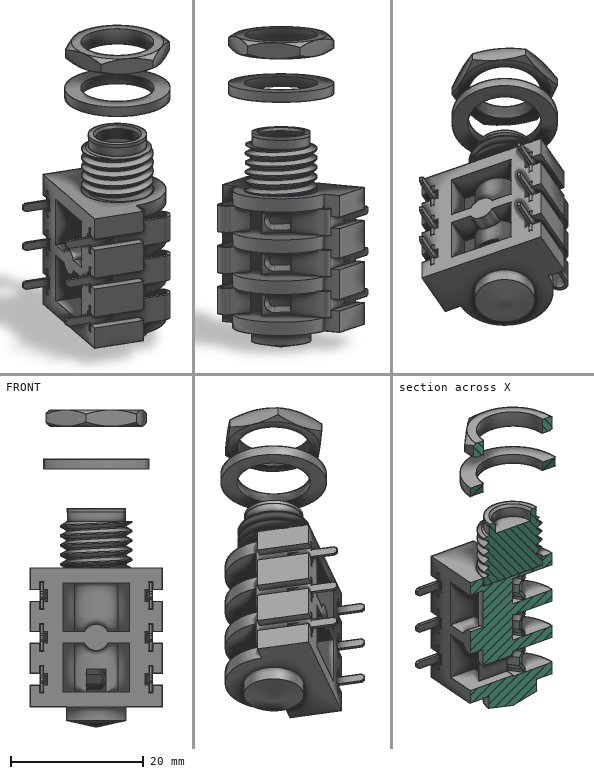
import cadquery as cq
import math


OVERALL_DEPTH = 20.0

BLOCK_WIDTH = 20.0
BLOCK_DEPTH = 8.0
BLOCK_BOTTOM = 3.05
BLOCK_TOP = 24.1
BLOCK_HEIGHT = BLOCK_TOP - BLOCK_BOTTOM
BLOCK_MIDDLE = (BLOCK_BOTTOM + BLOCK_TOP) / 2

RIB_RADIUS = 7.35
RIB_THICKNESS = 2.05
CONTACT_COUNT = 3
CONTACT_PITCH = (BLOCK_HEIGHT - RIB_THICKNESS) / CONTACT_COUNT
CONTACT_LEVELS = [BLOCK_MIDDLE + CONTACT_PITCH * step for step in (-1, 0, 1)]

WINDOW_WIDTH = 10.05
WINDOW_HEIGHT = 16.5
WINDOW_DEPTH = 4.45
BAR_HEIGHT = 1.75
BOSS_DIAMETER = 4.0
BARREL_DIAMETER = 7.2
BARREL_AXIS_Y = -2.0
WINDOW_BOTTOM = BLOCK_MIDDLE - WINDOW_HEIGHT / 2
BARREL_HOLE_WIDTH = 3.0
BARREL_HOLE_HEIGHT = 3.45

END_DIAMETER = 9.0
END_CONE_HEIGHT = 1.0

PLUG_DIAMETER = 11.0
SOCKET_DIAMETER = 11.1
SOCKET_DEPTH = 1.45
SOCKET_FLOOR = BLOCK_TOP - SOCKET_DEPTH
THREAD_TOP = 31.1
THREAD_DIAMETER = 10.85
THREAD_ROOT_DIAMETER = 9.0
THREAD_PITCH = 1.45
THREAD_CREST = 0.2
THREAD_BASE = 1.4
THREAD_START = 22.45
THREAD_EMBED = 0.15
COLLAR_TOP = 33.05
COLLAR_DIAMETER = 8.8
COLLAR_BORE = 6.45
COLLAR_MOUTH = 7.25
LIP_HEIGHT = 0.55
LIP_DIAMETER = 8.85

WASHER_BOTTOM = 39.0
WASHER_THICKNESS = 1.55
WASHER_DIAMETER = 16.0
WASHER_HOLE = 11.1
NUT_TOP = 48
NUT_THICKNESS = 2.5
NUT_CORNER_DIAMETER = 16.15
NUT_FACE_DIAMETER = 13.9
NUT_HOLE = 11.0
NUT_TURN = 19
NUT_CHAMFER_ANGLE = 30

SHEET = 0.5
PIN_X = 8.25
PIN_TIP_Y = WASHER_DIAMETER / 2 - OVERALL_DEPTH
PIN_WIDTH = 1.2
PIN_POINT_WIDTH = 0.6
PIN_POINT_LENGTH = 0.45
LEAF_WIDTH = 4.05
SLIT_HEIGHT = 4.15
SLIT_WIDTH = 0.6
SIDE_SLOT_HEIGHT = 1.8
SIDE_SLOT_INNER_X = 7.35
BARB_TOP_Y = -4.3
BARB_LENGTH = 1.65
BARB_HEIGHT = 1.1
BARB_RISE = 0.45

LOW_CORNER_RADIUS = 0.6
LOW_LEAF_TOP_Y = 0.7
LOW_BEND_X = -2.05
LOW_LEG_ANGLE = 38
LOW_LEG_LENGTH = 4.4
DIMPLE_END = 2.5
DIMPLE_WIDTH = 3.15
DIMPLE_FLAT_WIDTH = 1.45
DIMPLE_HEIGHT = 0.45

ARCH_RADIUS = 1.35
ARCH_CENTRE_Y = 4.2
HIGH_LEG_ANGLE = 53
HIGH_LEG_LENGTH = 3.35


def box(x_range, y_range, z_range):
    """Solid box between the given limits along X, Y and Z."""
    limits = (x_range, y_range, z_range)
    sizes = [high - low for low, high in limits]
    corner = cq.Vector(*[low for low, high in limits])
    return cq.Workplane(obj=cq.Solid.makeBox(*sizes, pnt=corner))


def cylinder(diameter, bottom, top):
    """Solid cylinder on the jack axis."""
    return cq.Workplane().workplane(offset=bottom).circle(diameter / 2).extrude(top - bottom)


def ring(outer, inner, bottom, top):
    """Flat ring on the jack axis."""
    return cylinder(outer, bottom, top).cut(cylinder(inner, bottom, top))


def centred(middle, size):
    """Limits of a length that is centred on a point."""
    return (middle - size / 2, middle + size / 2)


def make_block():
    """Rectangular front block with four half-round ribs behind it."""
    body = box(centred(0, BLOCK_WIDTH), (-BLOCK_DEPTH, 0), (BLOCK_BOTTOM, BLOCK_TOP))
    for index in range(CONTACT_COUNT + 1):
        bottom = BLOCK_BOTTOM + index * CONTACT_PITCH
        body = body.union(cylinder(2 * RIB_RADIUS, bottom, bottom + RIB_THICKNESS).intersect(
            box(centred(0, BLOCK_WIDTH), (-BLOCK_DEPTH, RIB_RADIUS), (BLOCK_BOTTOM, BLOCK_TOP))))
    return body


def make_window_cutter():
    """Space of both windows, around the cross bar, its round boss and the barrel wall."""
    window_z = centred(BLOCK_MIDDLE, WINDOW_HEIGHT)
    depth = (-BLOCK_DEPTH, WINDOW_DEPTH - BLOCK_DEPTH)
    cutter = box(centred(0, WINDOW_WIDTH), depth, window_z)
    bar = box(centred(0, WINDOW_WIDTH), depth, centred(BLOCK_MIDDLE, BAR_HEIGHT))
    boss = (cq.Workplane("XZ", origin=(0, 0, BLOCK_MIDDLE))
            .circle(BOSS_DIAMETER / 2).extrude(BLOCK_DEPTH))
    barrel = cylinder(BARREL_DIAMETER, *window_z).translate((0, BARREL_AXIS_Y, 0))
    return cutter.cut(bar).cut(boss).cut(barrel)


def make_barrel_hole():
    """Rectangular hole through the barrel wall, in line with the lowest contact."""
    return box(centred(0, BARREL_HOLE_WIDTH), (BARREL_AXIS_Y - BARREL_DIAMETER / 2, 0),
               (WINDOW_BOTTOM, WINDOW_BOTTOM + BARREL_HOLE_HEIGHT))


def make_contact_slots(side, level):
    """Open side slot and narrow slit for one contact; side is -1 or 1 along X."""
    depth = (-BLOCK_DEPTH, 0)
    slot_x = sorted((side * SIDE_SLOT_INNER_X, side * BLOCK_WIDTH / 2))
    side_slot = box(slot_x, depth, centred(level, SIDE_SLOT_HEIGHT))
    slit = box(centred(side * PIN_X, SLIT_WIDTH), depth, centred(level, SLIT_HEIGHT))
    return side_slot.union(slit)


def make_closed_end():
    """Round stub below the block that ends in a shallow cone."""
    radius = END_DIAMETER / 2
    return (cq.Workplane("XZ").moveTo(0, 0).lineTo(radius, END_CONE_HEIGHT)
            .lineTo(radius, BLOCK_BOTTOM).lineTo(0, BLOCK_BOTTOM).close().revolve())


def make_housing():
    body = make_block().cut(make_window_cutter()).cut(make_barrel_hole())
    for level in CONTACT_LEVELS:
        for side in (-1, 1):
            body = body.cut(make_contact_slots(side, level))
    socket = cylinder(SOCKET_DIAMETER, SOCKET_FLOOR, BLOCK_TOP)
    return body.union(make_closed_end()).cut(socket)


def make_threaded_neck():
    """Neck with a right-hand ridge, swept past both ends of the neck and trimmed to it."""
    root = THREAD_ROOT_DIAMETER / 2
    height = THREAD_TOP - THREAD_START + THREAD_PITCH
    path = cq.Workplane(obj=cq.Wire.makeHelix(THREAD_PITCH, height, root)).translate((0, 0, THREAD_START))
    ridge = (cq.Workplane("XZ", origin=(0, 0, THREAD_START))
             .moveTo(root - THREAD_EMBED, -THREAD_BASE / 2)
             .lineTo(THREAD_DIAMETER / 2, -THREAD_CREST / 2)
             .lineTo(THREAD_DIAMETER / 2, THREAD_CREST / 2)
             .lineTo(root - THREAD_EMBED, THREAD_BASE / 2)
             .close().sweep(path, isFrenet=True))
    core = cylinder(THREAD_ROOT_DIAMETER, BLOCK_BOTTOM, COLLAR_TOP)
    return core.union(ridge).intersect(cylinder(2 * THREAD_DIAMETER, BLOCK_TOP, THREAD_TOP))


def make_collar():
    """Ring with a slight lip on the end of the neck, its bore chamfered at the mouth."""
    lip_bottom = COLLAR_TOP - LIP_HEIGHT
    chamfer = (COLLAR_MOUTH - COLLAR_BORE) / 2
    return (cq.Workplane("XZ").moveTo(COLLAR_BORE / 2, THREAD_TOP)
            .lineTo(COLLAR_DIAMETER / 2, THREAD_TOP)
            .lineTo(COLLAR_DIAMETER / 2, lip_bottom)
            .lineTo(LIP_DIAMETER / 2, lip_bottom)
            .lineTo(LIP_DIAMETER / 2, COLLAR_TOP)
            .lineTo(COLLAR_MOUTH / 2, COLLAR_TOP)
            .lineTo(COLLAR_BORE / 2, COLLAR_TOP - chamfer)
            .close().revolve())


def make_bushing():
    plug = cylinder(PLUG_DIAMETER, SOCKET_FLOOR, BLOCK_TOP)
    return make_threaded_neck().union(plug).union(make_collar())


def make_washer():
    return ring(WASHER_DIAMETER, WASHER_HOLE, WASHER_BOTTOM, WASHER_BOTTOM + WASHER_THICKNESS)


def make_nut():
    """Hexagon nut, its corners chamfered on both faces."""
    bottom = NUT_TOP - NUT_THICKNESS
    corner = NUT_CORNER_DIAMETER / 2
    face = NUT_FACE_DIAMETER / 2
    drop = (corner - face) * math.tan(math.radians(NUT_CHAMFER_ANGLE))
    envelope = (cq.Workplane("XZ").moveTo(0, bottom).lineTo(face, bottom)
                .lineTo(corner, bottom + drop).lineTo(corner, NUT_TOP - drop)
                .lineTo(face, NUT_TOP).lineTo(0, NUT_TOP).close().revolve())
    hexagon = (cq.Workplane().workplane(offset=bottom)
               .polygon(6, NUT_CORNER_DIAMETER).extrude(NUT_THICKNESS)
               .rotate((0, 0, 0), (0, 0, 1), NUT_TURN))
    return hexagon.intersect(envelope).cut(cylinder(NUT_HOLE, bottom, NUT_TOP))


def make_blade(x):
    """Flat, pointed pin with its wide shoulder inside the slit, at level Z = 0."""
    half_pin = PIN_WIDTH / 2
    half_point = PIN_POINT_WIDTH / 2
    half_leaf = LEAF_WIDTH / 2
    shoulder_y = PIN_TIP_Y + PIN_POINT_LENGTH
    blade = (cq.Workplane("YZ", origin=(x - SHEET / 2, 0, 0))
             .moveTo(PIN_TIP_Y, -half_point).lineTo(shoulder_y, -half_pin)
             .lineTo(-BLOCK_DEPTH, -half_pin).lineTo(-BLOCK_DEPTH, -half_leaf)
             .lineTo(0, -half_leaf).lineTo(0, half_leaf)
             .lineTo(-BLOCK_DEPTH, half_leaf).lineTo(-BLOCK_DEPTH, half_pin)
             .lineTo(shoulder_y, half_pin).lineTo(PIN_TIP_Y, half_point)
             .close().extrude(SHEET))
    return press_barb(blade, x)


def press_barb(blade, x):
    """Press a sloping barb out of the blade, towards the jack axis."""
    inward = -math.copysign(1, x)
    outer_x = x - inward * SHEET / 2
    inner_x = x + inward * SHEET / 2
    bottom_y = BARB_TOP_Y - BARB_LENGTH

    def wedge(face_x):
        return (cq.Workplane(origin=(0, 0, -BARB_HEIGHT / 2)).moveTo(face_x, bottom_y)
                .lineTo(face_x, BARB_TOP_Y).lineTo(face_x + inward * BARB_RISE, BARB_TOP_Y)
                .close().extrude(BARB_HEIGHT))

    return blade.union(wedge(inner_x)).cut(wedge(outer_x))


def make_leaf(profile):
    """Sheet strip across the width of the contact from its closed XY profile."""
    return profile.close().extrude(LEAF_WIDTH / 2, both=True)


def make_low_contact():
    """Contact whose leaf turns over the edge of the block and rises across the jack axis."""
    outer_x = -PIN_X - SHEET / 2
    under_y = LOW_LEAF_TOP_Y - SHEET
    angle = math.radians(LOW_LEG_ANGLE)
    along = (math.cos(angle), math.sin(angle))
    mitre = SHEET * math.tan(angle / 2)
    top_bend = (LOW_BEND_X, LOW_LEAF_TOP_Y)
    under_bend = (LOW_BEND_X + mitre, under_y)
    top_end = (top_bend[0] + LOW_LEG_LENGTH * along[0], top_bend[1] + LOW_LEG_LENGTH * along[1])
    under_end = (top_end[0] + SHEET * along[1], top_end[1] - SHEET * along[0])
    corner_y = LOW_LEAF_TOP_Y - LOW_CORNER_RADIUS
    leaf = make_leaf(
        cq.Workplane().moveTo(outer_x, 0).lineTo(outer_x, corner_y)
        .radiusArc((outer_x + LOW_CORNER_RADIUS, LOW_LEAF_TOP_Y), LOW_CORNER_RADIUS)
        .lineTo(*top_bend).lineTo(*top_end).lineTo(*under_end).lineTo(*under_bend)
        .lineTo(outer_x + SHEET, under_y).lineTo(outer_x + SHEET, 0))

    def dimple(origin):
        plane = cq.Plane(origin=(*origin, 0), xDir=(*along, 0), normal=(along[1], -along[0], 0))
        side_slope = math.degrees(math.atan2((DIMPLE_WIDTH - DIMPLE_FLAT_WIDTH) / 2, DIMPLE_HEIGHT))
        bar = cq.Workplane(plane).slot2D(2 * DIMPLE_END + DIMPLE_WIDTH, DIMPLE_WIDTH)
        leg_space = (cq.Workplane(plane).rect(LOW_LEG_LENGTH, LEAF_WIDTH, centered=(False, True))
                      .extrude(DIMPLE_HEIGHT))
        return bar.extrude(DIMPLE_HEIGHT, taper=side_slope).intersect(leg_space)

    under_start = (LOW_BEND_X + SHEET * along[1], LOW_LEAF_TOP_Y - SHEET * along[0])
    leaf = leaf.union(dimple(under_start)).cut(dimple(top_bend))
    return make_blade(-PIN_X).union(leaf)


def make_high_contact():
    """Contact whose leaf arches over and leans back down towards the jack axis."""
    outer_x = PIN_X + SHEET / 2
    inner_x = PIN_X - SHEET / 2
    centre_x = outer_x - ARCH_RADIUS
    inner_radius = ARCH_RADIUS - SHEET
    turn = math.radians(90 - HIGH_LEG_ANGLE)
    outward = (-math.cos(turn), math.sin(turn))
    down = (-math.sin(turn), -math.cos(turn))

    def arch_end(radius, length):
        return (centre_x + radius * outward[0] + length * down[0],
                ARCH_CENTRE_Y + radius * outward[1] + length * down[1])

    def arch_top(radius):
        return (centre_x, ARCH_CENTRE_Y + radius)

    leaf = make_leaf(
        cq.Workplane().moveTo(outer_x, 0).lineTo(outer_x, ARCH_CENTRE_Y)
        .threePointArc(arch_top(ARCH_RADIUS), arch_end(ARCH_RADIUS, 0))
        .lineTo(*arch_end(ARCH_RADIUS, HIGH_LEG_LENGTH))
        .lineTo(*arch_end(inner_radius, HIGH_LEG_LENGTH))
        .lineTo(*arch_end(inner_radius, 0))
        .threePointArc(arch_top(inner_radius), (inner_x, ARCH_CENTRE_Y))
        .lineTo(inner_x, 0))
    return make_blade(PIN_X).union(leaf)


housing = make_housing()
bushing = make_bushing()
washer = make_washer()
nut = make_nut()
low_contacts = [make_low_contact().translate((0, 0, level)) for level in CONTACT_LEVELS]
high_contacts = [make_high_contact().translate((0, 0, level)) for level in CONTACT_LEVELS]

result = cq.Compound.makeCompound([
    housing.val(),
    bushing.val(),
    washer.val(),
    nut.val(),
    *[contact.val() for contact in low_contacts],
    *[contact.val() for contact in high_contacts],
])